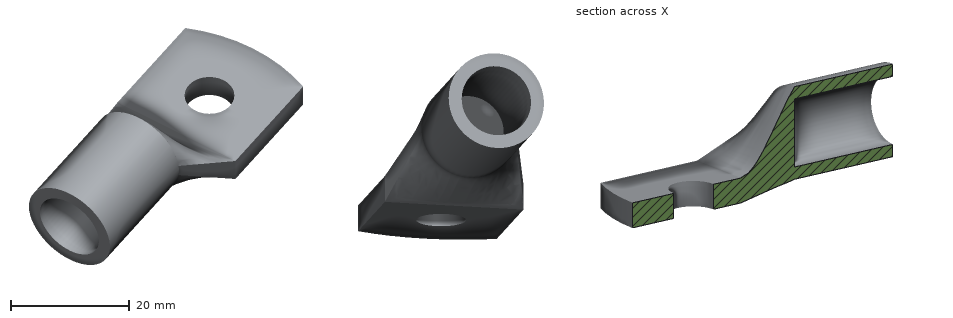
import cadquery as cq
import math

total_length = 55.4
total_height = 18.5

barrel_diameter = 16.5
bore_diameter = 12.0
barrel_length = 20.9

palm_width = 24.0
palm_thickness = 4.5
palm_side_length = 20.5
bolt_hole_diameter = 8.4
bolt_hole_offset = 10.0

neck_length = 11.5
neck_side_angle = math.radians(8)
ridge_end_slope = 0.95
neck_spans = 8
neck_edge_spans = 16

barrel_radius = barrel_diameter / 2
barrel_axis_z = total_height - barrel_radius
palm_half_width = palm_width / 2
neck_start_y = barrel_length
palm_start_y = neck_start_y + neck_length
palm_corner_y = palm_start_y + palm_side_length
bolt_hole_y = palm_start_y + bolt_hole_offset


def barrel_cylinder(diameter):
    """Cylinder of the given diameter on the barrel axis, as long as the barrel."""
    mouth = cq.Plane(origin=(0, 0, barrel_axis_z), xDir=(-1, 0, 0), normal=(0, 1, 0))
    return cq.Workplane(mouth).circle(diameter / 2).extrude(barrel_length)


def blend(start, end, t):
    return start + (end - start) * t


def rim_point(angle):
    """X and Z of the barrel rim, at an angle measured from +X towards +Z."""
    return barrel_radius * math.cos(angle), barrel_axis_z + barrel_radius * math.sin(angle)


def crown_ratio(t):
    """Share of the full crown of the top face, from 0 at the palm (t = 0) to 1 at the barrel (t = 1).

    The ridge leaves the palm level and climbs along a cubic, while the creases beside it climb straight.
    """
    ridge_rise = total_height - palm_thickness
    crease_rise = rim_point(neck_side_angle)[1] - palm_thickness
    ridge = ridge_rise * ((3 - ridge_end_slope) * t**2 + (ridge_end_slope - 2) * t**3)
    return (ridge - crease_rise * t) / (ridge_rise - crease_rise)


def neck_edge(t, palm_x, palm_z, start_angle, end_angle, bulge):
    """Top or bottom edge of the neck section at t, blended from a palm edge to an arc of the barrel rim.

    The palm edge runs from palm_x to -palm_x; bulge is the share of the arc height reached at t.
    """
    y = blend(palm_start_y, neck_start_y, t)
    crease_z = rim_point(start_angle)[1]
    points = []
    for i in range(neck_edge_spans + 1):
        u = i / neck_edge_spans
        rim_x, rim_z = rim_point(blend(start_angle, end_angle, u))
        x = blend(blend(palm_x, -palm_x, u), rim_x, t)
        z = blend(palm_z, crease_z, t) + bulge * (rim_z - crease_z)
        points.append(cq.Vector(x, y, z))
    return cq.Edge.makeSpline(points)


def neck_section(t):
    """Closed outline of the neck, from the palm (t = 0) to the barrel (t = 1)."""
    top_right_angle = neck_side_angle
    top_left_angle = math.pi - neck_side_angle
    bottom_left_angle = math.pi + neck_side_angle
    bottom_right_angle = 2 * math.pi - neck_side_angle
    top = neck_edge(t, palm_half_width, palm_thickness, top_right_angle, top_left_angle, crown_ratio(t))
    bottom = neck_edge(t, -palm_half_width, 0, bottom_left_angle, bottom_right_angle, t)
    left = cq.Edge.makeLine(top.endPoint(), bottom.startPoint())
    right = cq.Edge.makeLine(bottom.endPoint(), top.startPoint())
    return cq.Wire.assembleEdges([top, left, bottom, right])


def make_neck():
    """Smooth transition from the rectangular palm section to the round barrel."""
    sections = [neck_section(i / neck_spans) for i in range(neck_spans + 1)]
    return cq.Workplane(cq.Solid.makeLoft(sections))


def make_palm():
    return (
        cq.Workplane("XY")
        .moveTo(-palm_half_width, palm_start_y)
        .lineTo(palm_half_width, palm_start_y)
        .lineTo(palm_half_width, palm_corner_y)
        .threePointArc((0, total_length), (-palm_half_width, palm_corner_y))
        .close()
        .extrude(palm_thickness)
    )


def make_bolt_hole():
    return cq.Workplane("XY").center(0, bolt_hole_y).circle(bolt_hole_diameter / 2).extrude(palm_thickness)


barrel = barrel_cylinder(barrel_diameter).cut(barrel_cylinder(bore_diameter))
palm = make_palm().cut(make_bolt_hole())
result = barrel.union(make_neck()).union(palm)